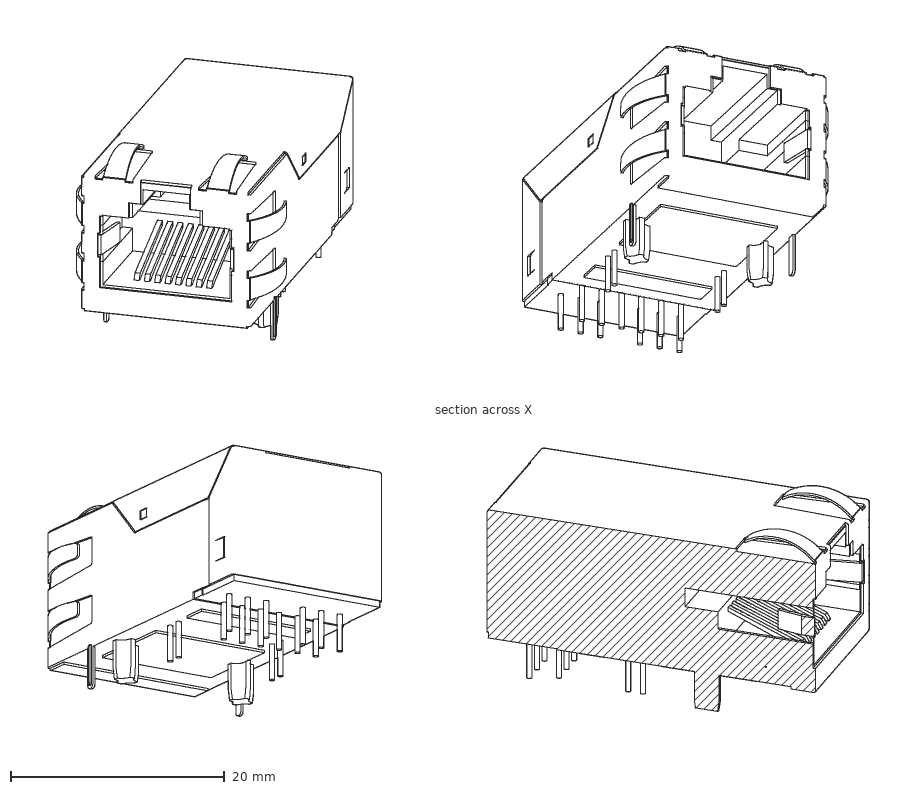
import cadquery as cq
import math


half_width = 8.3
length = 32.8
height = 13.4
sheet = 0.25
fold_radius = 0.3
reach = 1.0

shell_sill = 2.31
shell_steps = [(6.47, 9.45), (3.61, 11.08), (2.47, height - sheet)]
housing_sill = 2.54
housing_front_steps = [(6.22, 9.57), (3.3, 11.0), (2.26, 12.47)]
housing_rear_steps = [(6.22, 8.48), (3.3, 11.0), (2.26, 12.47)]
shoulder_y = 9.0
ledge_y = 9.7
ledge_z = 6.6
cavity_depth = 13.0

tab_bottom = 5.56
tab_top = 7.53
tab_outer_x = 6.67
tab_inner_x = 5.65
tab_sheet = 0.34
tab_setback = 0.1
tab_clearance = 0.2
tab_length = 3.9
pocket_half_width = 7.25
pocket_front_y = 0.3
pocket_bottom = 4.82
pocket_top = 8.48

contact_count = 8
contact_pitch = 1.016
contact_width = 0.5
contact_tip_y = 2.3
contact_tip_run = 0.35
contact_thickness = 0.4
contact_bend_z = 3.15
contact_rear_z = 5.88

finger_sheet = 0.2
finger_root_width = 2.2
finger_end_width = 1.5
finger_end_y = 7.45
finger_corner = 0.45
finger_root_y = 0.15
finger_root_sink = 0.15
window_front_width = 3.7
window_end_width = 2.75
window_end_y = 8.0
window_corner = 0.25
fold_slot_width = 0.18
top_finger_x = 5.08
top_finger_rise = 1.61
top_finger_crest_y = 4.2
side_finger_heights = (3.71, 9.42)
width_over_fingers = 19.88
side_finger_rise = width_over_fingers / 2 - half_width
side_finger_crest_y = 5.0

side_lip_length = 11.5
lip_width = 0.25
lip_depth = 0.25
front_lip_half_width = 2.47
front_lip_width = 0.35
rear_lip_half_width = 4.6

flap_front_y = 11.3
flap_drop = 4.2
flap_end_gap = 0.15
flap_bottom_gap = 0.08
dimple_y = (16.5, 17.6)
dimple_z = (10.23, 11.1)
dimple_depth = 0.1

wrap_edge_y = length - flap_drop
bend_start_y = 27.53
bend_mid_y = 28.26
bend_mid_depth = 0.1
latch_y = (29.79, 31.34)
latch_hook_y = 30.98
latch_z = (2.72, 4.73)
wrap_bottom = 0.71
skirt_bottom = 0.1
skirt_front_y = 25.85
skirt_step_y = 27.2
skirt_side_inset = 0.25
skirt_front_inset = 0.15
skirt_rear_inset = 0.12

standoff_height = 0.23
standoff_half_width = 6.0
standoff_spans = [(6.17, 15.6), (21.1, 23.66)]
front_return_half_width = 7.95
front_return_length = 2.47
front_return_fold = 0.2

pin_diameter = 0.5
pin_length = 3.47
pin_pitch = 1.016
pin_rows = [(26.12, (1, 3, 5)), (28.7, (2, 4, 6))]
outer_pair_x = 5.62
outer_pair_y = (17.53, 19.0)

peg_x = 6.35
peg_y = 10.88
peg_length = 3.75
peg_half = 1.25
peg_rib = 0.5
peg_taper_length = 1.0
peg_taper = 0.14

leg_y = 7.7
leg_width = 0.9
leg_length = 4.0
leg_corner = 0.36
bead_width = 0.5
bead_chamfer = 0.1
bead_height = 0.14
bead_top = 0.3
bead_end_margin = 0.3


def block(x_range, y_range, z_range):
    """Box spanning three (low, high) ranges."""
    size = [high - low for low, high in (x_range, y_range, z_range)]
    corner = (x_range[0], y_range[0], z_range[0])
    return cq.Workplane("XY").box(*size, centered=False).translate(corner)


def prism_x(points, x_low, x_high):
    """Prism along X over a (y, z) outline."""
    return cq.Workplane("YZ", origin=(x_low, 0, 0)).polyline(points).close().extrude(x_high - x_low)


def prism_z(points, z_low, z_high):
    """Prism along Z over an (x, y) outline."""
    return cq.Workplane("XY", origin=(0, 0, z_low)).polyline(points).close().extrude(z_high - z_low)


def both_sides(shape):
    """The shape together with its mirror image across the mid plane."""
    return shape.union(shape.mirror("YZ"))


def make_shell():
    body = block((-half_width, half_width), (0, length), (0, height))
    body = body.edges("|Z or >Z").fillet(fold_radius)
    side_lip = block(
        (half_width - lip_width, half_width + reach),
        (-reach, side_lip_length),
        (height - lip_depth, height + reach),
    )
    front_lip = block(
        (-front_lip_half_width, front_lip_half_width),
        (-reach, front_lip_width),
        (height - lip_depth, height + reach),
    )
    rear_lip = block(
        (-rear_lip_half_width, rear_lip_half_width),
        (length - lip_width, length + reach),
        (height - lip_depth, height + reach),
    )
    return body.cut(both_sides(side_lip)).cut(front_lip).cut(rear_lip)


def stepped_opening(steps, sill, y_range):
    """Stack of slots, each narrower and higher than the one below."""
    opening = None
    for half, top in steps:
        slot = block((-half, half), y_range, (sill, top))
        opening = slot if opening is None else opening.union(slot)
    return opening


def make_cavity():
    cavity = stepped_opening(shell_steps, shell_sill, (-reach, sheet))
    cavity = cavity.union(stepped_opening(housing_front_steps, housing_sill, (0, shoulder_y)))
    cavity = cavity.union(stepped_opening(housing_rear_steps, housing_sill, (0, cavity_depth)))
    notch = block((-tab_outer_x, tab_outer_x), (-reach, pocket_front_y), (tab_bottom, tab_top))
    shell_notch = block(
        (-tab_outer_x, tab_outer_x),
        (-reach, sheet),
        (tab_bottom - tab_clearance, tab_top + tab_clearance),
    )
    pocket = block(
        (-pocket_half_width, pocket_half_width),
        (pocket_front_y, cavity_depth),
        (pocket_bottom, pocket_top),
    )
    ledge = block(
        (-pocket_half_width, pocket_half_width), (ledge_y, cavity_depth + reach), (0, ledge_z)
    )
    return cavity.union(notch).union(shell_notch).union(pocket).cut(ledge)


def make_grounding_tabs():
    points = [
        (tab_outer_x - tab_sheet, tab_setback),
        (tab_inner_x, tab_length),
        (tab_inner_x + tab_sheet, tab_length),
        (tab_outer_x, pocket_front_y),
        (tab_outer_x + sheet, pocket_front_y),
        (tab_outer_x + sheet, tab_setback),
    ]
    return both_sides(prism_z(points, tab_bottom, tab_top))


def make_contacts():
    profile = [
        (contact_tip_y, housing_sill),
        (contact_tip_y + contact_tip_run, contact_bend_z),
        (ledge_y, contact_rear_z),
        (ledge_y, contact_rear_z - contact_thickness),
        (contact_tip_y + contact_thickness + contact_tip_run, contact_bend_z - contact_thickness),
        (contact_tip_y + contact_thickness, housing_sill),
    ]
    contacts = cq.Workplane("XY")
    for index in range(contact_count):
        x = (index - (contact_count - 1) / 2) * contact_pitch
        contacts = contacts.add(prism_x(profile, x - contact_width / 2, x + contact_width / 2))
    return contacts.combine()


def tapered_prism(root_width, end_width, end_y, corner, top):
    """Upright prism narrowing from Y = 0 to a rounded end."""
    points = [
        (-root_width / 2, 0),
        (root_width / 2, 0),
        (end_width / 2, end_y),
        (-end_width / 2, end_y),
    ]
    return prism_z(points, -sheet, top).edges("|Z and >Y").fillet(corner)


def make_window():
    """Window cutter for a sheet whose outer face is Z = 0.

    It runs deeper through the fold at the mating face, except at the root of the finger.
    """
    window = tapered_prism(window_front_width, window_end_width, window_end_y, window_corner, reach)
    half_front = window_front_width / 2
    fold_slot = block((-half_front, half_front), (0, fold_slot_width), (-fold_radius, reach))
    half_root = finger_root_width / 2
    root = block((-half_root, half_root), (0, fold_slot_width), (-fold_radius, reach))
    return window.union(fold_slot).cut(root)


def make_finger(rise, crest_y):
    """Arched finger rising above a sheet whose outer face is Z = 0."""
    run = crest_y - finger_root_y
    drop = rise + finger_root_sink
    radius = (run**2 + drop**2) / (2 * drop)
    arch = (
        cq.Workplane("YZ", origin=(-finger_root_width, crest_y, rise - radius))
        .circle(radius)
        .circle(radius - finger_sheet)
        .extrude(2 * finger_root_width)
    )
    outline = tapered_prism(finger_root_width, finger_end_width, finger_end_y, finger_corner, 2 * rise)
    return arch.intersect(outline)


def place_on_faces(top_shape, side_shape):
    """Copies of a shape made on Z = 0, set on the top face and on both side faces."""
    placed = both_sides(top_shape.translate((top_finger_x, 0, height)))
    for z in side_finger_heights:
        side = side_shape.rotate((0, 0, 0), (0, 1, 0), 90).translate((half_width, 0, z))
        placed = placed.union(both_sides(side))
    return placed


def make_side_flap_gap():
    """Narrow gap outlining the flap folded down from the top on the +X side."""

    def trapezoid(end_gap, bottom_gap):
        inset = end_gap * math.sqrt(2)
        drop = flap_drop - bottom_gap
        front = flap_front_y + inset
        rear = length - inset
        points = [
            (front - reach, height + reach),
            (front + drop, height - drop),
            (rear - drop, height - drop),
            (rear + reach, height + reach),
        ]
        return prism_x(points, half_width - sheet, half_width + reach)

    dimple = block((half_width - dimple_depth, half_width + reach), dimple_y, dimple_z)
    return trapezoid(0, 0).cut(trapezoid(flap_end_gap, flap_bottom_gap)).union(dimple)


def make_rear_wrap_cuts():
    """Bend, latch window and skirt recess at the rear of the +X side."""
    outside = half_width + reach
    bend = prism_z(
        [
            (half_width, bend_start_y),
            (half_width - bend_mid_depth, bend_mid_y),
            (half_width - sheet, wrap_edge_y),
            (outside, wrap_edge_y),
            (outside, bend_start_y),
        ],
        wrap_bottom,
        height - flap_drop,
    )
    latch = prism_z(
        [
            (half_width, latch_y[0]),
            (half_width - sheet / 2, latch_hook_y),
            (half_width - sheet, latch_hook_y),
            (half_width - sheet, latch_y[1]),
            (outside, latch_y[1]),
            (outside, latch_y[0]),
        ],
        *latch_z,
    )
    skirt_front = block(
        (half_width - skirt_front_inset, outside), (skirt_front_y, skirt_step_y), (-reach, wrap_bottom)
    )
    skirt_rear = block(
        (half_width - skirt_side_inset, outside), (skirt_step_y, length + reach), (-reach, wrap_bottom)
    )
    return bend.union(latch).union(skirt_front).union(skirt_rear)


def make_rear_skirt_cuts():
    outside = half_width + reach
    rear = block((-outside, outside), (length - skirt_rear_inset, length + reach), (-reach, wrap_bottom))
    under = block((-outside, outside), (skirt_front_y, length + reach), (-reach, skirt_bottom))
    return rear.union(under)


def make_standoffs():
    """Pads under the housing and the shell front returned under it, all resting on the board."""
    z_range = (-standoff_height, sheet)
    front_return = block(
        (-front_return_half_width, front_return_half_width), (0, front_return_length), z_range
    )
    standoffs = front_return.edges("<Y and <Z").fillet(front_return_fold)
    for span in standoff_spans:
        standoffs = standoffs.add(block((-standoff_half_width, standoff_half_width), span, z_range))
    return standoffs.combine()


def make_pins():
    places = [(step * pin_pitch, y) for y, steps in pin_rows for step in steps]
    places += [(outer_pair_x, y) for y in outer_pair_y]
    pins = (
        cq.Workplane("XY", origin=(0, 0, -pin_length))
        .pushPoints(places)
        .circle(pin_diameter / 2)
        .extrude(pin_length + reach)
    )
    return both_sides(pins)


def make_pegs():
    """Four-ribbed locating pegs with hollow flanks and a tapered end."""
    peg = block((-peg_half, peg_half), (-peg_half, peg_half), (0, peg_length + reach))
    flanks = (
        cq.Workplane("XY")
        .rect(2 * peg_half, 2 * peg_half, forConstruction=True)
        .vertices()
        .circle(peg_half - peg_rib / 2)
        .extrude(peg_length + reach)
    )
    tip_radius = math.hypot(peg_half, peg_rib / 2)
    envelope = (
        cq.Workplane("XY")
        .circle(tip_radius)
        .extrude(peg_length + reach)
        .faces("<Z")
        .chamfer(peg_taper_length, peg_taper)
    )
    peg = peg.cut(flanks).intersect(envelope)
    return both_sides(peg.translate((peg_x, peg_y, -peg_length)))


def make_legs():
    """Flat shield legs, each stiffened by a raised bead on its outer face."""
    leg = (
        block(
            (half_width - sheet, half_width),
            (leg_y - leg_width / 2, leg_y + leg_width / 2),
            (-leg_length, sheet),
        )
        .edges("|X and <Z")
        .fillet(leg_corner)
    )
    bead_bottom = bead_end_margin - leg_length
    bead_length = bead_top - bead_bottom
    bead = (
        cq.Workplane("YZ", origin=(half_width, leg_y, (bead_top + bead_bottom) / 2))
        .slot2D(bead_length, bead_width, 90)
        .extrude(bead_height)
        .faces(">X")
        .chamfer(bead_chamfer)
    )
    return both_sides(leg.union(bead))


result = (
    make_shell()
    .cut(place_on_faces(make_window(), make_window()))
    .cut(both_sides(make_side_flap_gap()))
    .cut(both_sides(make_rear_wrap_cuts()))
    .cut(make_rear_skirt_cuts())
    .cut(make_cavity())
    .union(make_grounding_tabs())
    .union(make_contacts())
    .union(
        place_on_faces(
            make_finger(top_finger_rise, top_finger_crest_y),
            make_finger(side_finger_rise, side_finger_crest_y),
        )
    )
    .union(make_standoffs())
    .union(make_pins())
    .union(make_pegs())
    .union(make_legs())
)